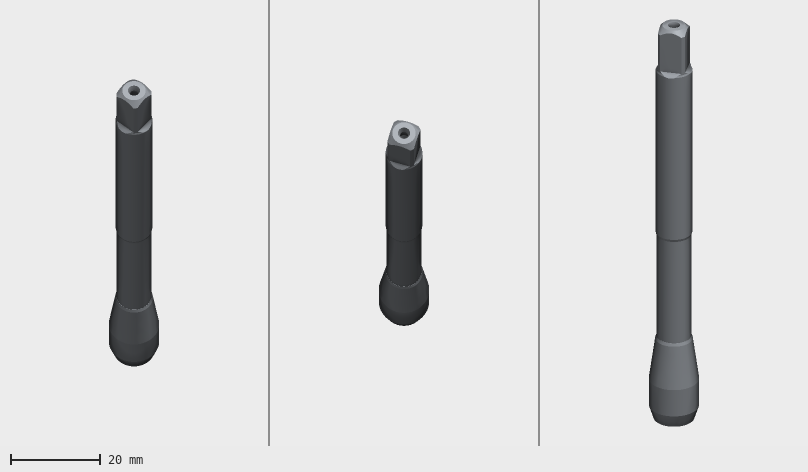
import cadquery as cq

total_length = 100.0

head_diameter = 11.25
tip_diameter = 9.2
lead_length = 3.2
taper_start = 9.9
head_top = 20.9
taper_top_diameter = 8.4
head_rim_diameter = 7.87
head_rim_length = 0.7

neck_diameter = 7.8
grip_diameter = 8.2
grip_start = 46.8
grip_edge_diameter = 7.87
grip_edge_length = 0.6
grip_end = 89.1
grip_end_length = 0.4
square_width = 6.2
square_bottom = 89.5
shoulder_bottom = 88.55
end_bevel_height = 1.3
end_face_diameter = 5.2

centre_diameter = 1.7
centre_mouth_diameter = 2.7
centre_depth = 3.0
mouth_depth = 1.2


def revolve_profile(points):
    """Turn a closed (radius, height) outline about the Z axis."""
    outline = cq.Workplane("XZ").polyline(points).close()
    return outline.revolve(360, (0, 0, 0), (0, 1, 0))


def make_head():
    return revolve_profile([
        (0, 0),
        (tip_diameter / 2, 0),
        (head_diameter / 2, lead_length),
        (head_diameter / 2, taper_start),
        (taper_top_diameter / 2, head_top - head_rim_length),
        (head_rim_diameter / 2, head_top),
        (0, head_top),
    ])


def make_centre_hole():
    hole_radius = centre_diameter / 2
    mouth_radius = centre_mouth_diameter / 2
    hole_bottom = total_length - centre_depth
    return revolve_profile([
        (0, hole_bottom - hole_radius),
        (hole_radius, hole_bottom),
        (hole_radius, total_length - mouth_depth),
        (mouth_radius, total_length),
        (0, total_length),
    ])


def make_square_cutter():
    """Space around the square drive, with a sloping shoulder below each flat."""
    cutter_width = 2 * grip_diameter
    blank = (
        cq.Workplane("XY")
        .workplane(offset=shoulder_bottom)
        .rect(cutter_width, cutter_width)
        .extrude(total_length - shoulder_bottom)
    )
    shoulder = (
        cq.Workplane("XY")
        .workplane(offset=shoulder_bottom)
        .rect(grip_diameter, grip_diameter)
        .workplane(offset=square_bottom - shoulder_bottom)
        .rect(square_width, square_width)
        .loft(ruled=True)
    )
    square_bar = (
        cq.Workplane("XY")
        .workplane(offset=square_bottom)
        .rect(square_width, square_width)
        .extrude(total_length - square_bottom)
    )
    return blank.cut(shoulder).cut(square_bar)


def make_shank():
    body = revolve_profile([
        (0, head_top),
        (neck_diameter / 2, head_top),
        (neck_diameter / 2, grip_start),
        (grip_edge_diameter / 2, grip_start),
        (grip_diameter / 2, grip_start + grip_edge_length),
        (grip_diameter / 2, grip_end - grip_end_length),
        (grip_edge_diameter / 2, grip_end),
        (grip_edge_diameter / 2, total_length - end_bevel_height),
        (end_face_diameter / 2, total_length),
        (0, total_length),
    ])
    return body.cut(make_square_cutter()).cut(make_centre_hole())


head = make_head()
shank = make_shank()

result = cq.Compound.makeCompound([head.val(), shank.val()])